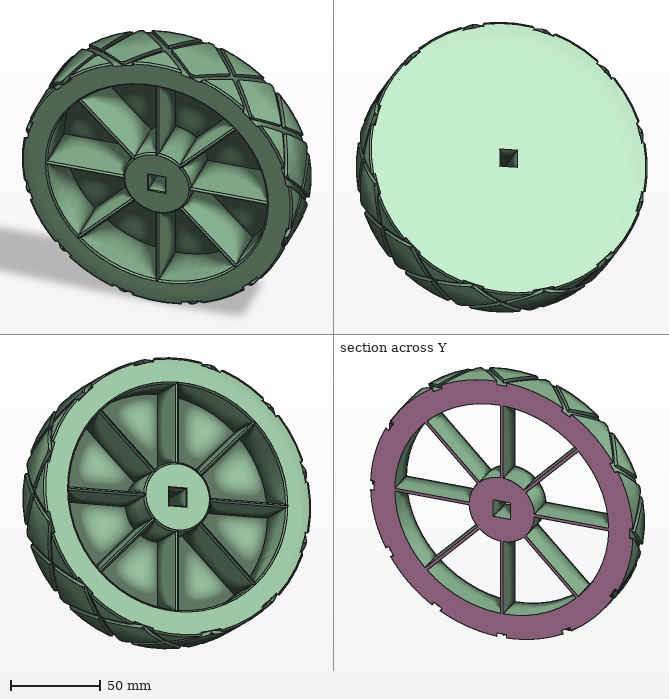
import cadquery as cq

outer_radius = 80.0
width = 35.0
edge_chamfer = 1.0

rim_inner_radius = 65.0
hub_radius = 20.0
web_thickness = 5.0

rib_count = 8
rib_thickness = 2 * edge_chamfer

axle_hole_side = 10.0
axle_hole_chamfer = 0.5

crossing_count = 12
groove_angle = 45.0
groove_width = 4.0
groove_depth = 2.0

front_y = -width / 2
back_y = width / 2
wheel_axis = ((0, 0, 0), (0, 1, 0))
web_y = back_y - web_thickness


def cylinder(radius, start_y, end_y):
    """Solid cylinder on the Y axis between two Y positions."""
    return cq.Workplane("XZ", origin=(0, start_y, 0)).circle(radius).extrude(start_y - end_y)


def recess():
    """Ring-shaped recess whose mouth is widened by a chamfer at the rim and at the hub."""
    profile = [
        (hub_radius, web_y),
        (rim_inner_radius, web_y),
        (rim_inner_radius, front_y + edge_chamfer),
        (rim_inner_radius + edge_chamfer, front_y),
        (hub_radius - edge_chamfer, front_y),
        (hub_radius, front_y + edge_chamfer),
    ]
    return cq.Workplane("XY").polyline(profile).close().revolve(360, (0, 0), (0, 1))


def rib():
    """Radial rib along +X, from hub to rim, with a ridged front edge flush with the rim face."""
    start_radius = hub_radius - edge_chamfer
    length = rim_inner_radius + edge_chamfer - start_radius
    half_thickness = rib_thickness / 2
    root_y = web_y + web_thickness / 2
    profile = [
        (front_y, 0),
        (front_y + edge_chamfer, half_thickness),
        (root_y, half_thickness),
        (root_y, -half_thickness),
        (front_y + edge_chamfer, -half_thickness),
    ]
    return cq.Workplane("YZ", origin=(start_radius, 0, 0)).polyline(profile).close().extrude(length)


def groove(angle):
    """Straight bar lying across the top of the wheel, turned by angle from the X axis."""
    length = 2 * width
    height = outer_radius / 2
    bar = cq.Workplane("XY", origin=(0, 0, outer_radius)).box(length, groove_width, height)
    return bar.rotate((0, 0, 0), (0, 0, 1), angle)


def axle_hole():
    """Square through hole, chamfered at the hub face."""
    hole = cq.Workplane("XZ").rect(axle_hole_side, axle_hole_side).extrude(width, both=True)
    mouth_side = axle_hole_side + 2 * axle_hole_chamfer
    mouth = (
        cq.Workplane("XZ", origin=(0, front_y, 0))
        .rect(mouth_side, mouth_side)
        .extrude(-axle_hole_chamfer, taper=45)
    )
    return hole.union(mouth)


core = cylinder(outer_radius - groove_depth, front_y, back_y)
tread = cylinder(outer_radius, front_y, back_y).edges("%CIRCLE").chamfer(edge_chamfer).cut(core)
for angle in (groove_angle, -groove_angle):
    for i in range(crossing_count):
        tread = tread.cut(groove(angle).rotate(*wheel_axis, i * 360 / crossing_count))
wheel = core.union(tread)

wheel = wheel.cut(recess())
for i in range(rib_count):
    wheel = wheel.union(rib().rotate(*wheel_axis, i * 360 / rib_count))

result = wheel.cut(axle_hole())